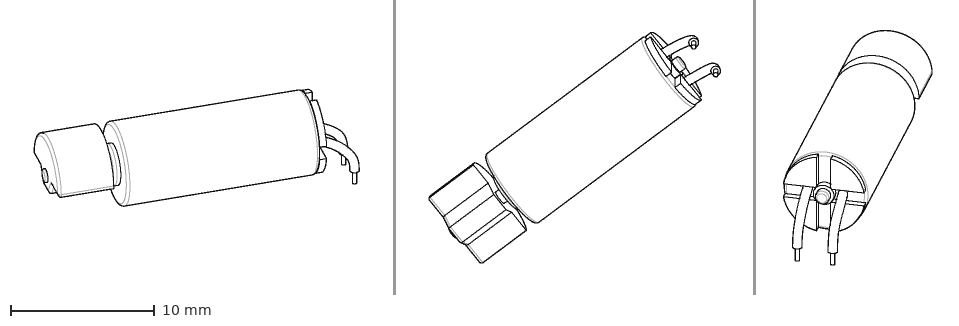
import cadquery as cq
import math


housing_radius = 3.0
housing_length = 14.03
edge_fillet = 0.2

shaft_radius = 0.5
shaft_front_tip = 0.18
shaft_rear_tip = 1.04
shaft_fillet = 0.14

bearing_radius = 3.0 / 2
bearing_length = 0.47

weight_gap = 0.97
weight_length = 4.02
weight_side_height = 0.23
tab_half_width = 1.33
tab_depth = 1.1
tab_draft = 30

cap_radius = 2.93
cap_thickness = 0.5
cap_slot_width = 1.02
cap_hub_radius = 0.75

wire_offset = 1.26
wire_radius = 0.34
conductor_radius = 0.15
conductor_bottom = -4.0
conductor_insertion = 0.34

left_wire_path = [(-0.34, 0.14), (1.4, -0.7), (2.62, -1.53), (3.0, -3.02)]
right_wire_path = [(-0.34, 0.3), (1.47, -0.52), (2.62, -1.55), (3.02, -2.95)]
wire_exit_direction = (0, 0.9, -0.4)
left_end_direction = (0, 0.1, -1)
right_end_direction = (0, 0, -1)

weight_rear = -weight_gap
weight_front = weight_rear - weight_length
shaft_front = weight_front - shaft_front_tip
shaft_rear = housing_length + shaft_rear_tip


def cylinder_along_y(radius, y_start, y_end):
    """Cylinder on the motor axis between two Y positions."""
    plane = cq.Workplane("XZ", origin=(0, y_start, 0))
    return plane.circle(radius).extrude(y_start - y_end)


def make_shaft():
    shaft = cylinder_along_y(shaft_radius, shaft_front, shaft_rear)
    return shaft.edges("%CIRCLE").fillet(shaft_fillet)


def make_housing():
    housing = cylinder_along_y(housing_radius, 0, housing_length)
    housing = housing.edges("%CIRCLE").fillet(edge_fillet)
    return housing.cut(cylinder_along_y(shaft_radius, 0, housing_length))


def make_bearing():
    bearing = cylinder_along_y(bearing_radius, -bearing_length, 0)
    bearing = bearing.faces("<Y").edges().fillet(edge_fillet)
    return bearing.cut(cylinder_along_y(shaft_radius, -bearing_length, 0))


def make_weight():
    """Half disc with a tapered tab below that surrounds the shaft."""
    tab_tip_half_width = tab_half_width - tab_depth * math.tan(math.radians(tab_draft))
    weight = (
        cq.Workplane("XZ", origin=(0, weight_rear, 0))
        .moveTo(-housing_radius, 0)
        .lineTo(-housing_radius, weight_side_height)
        .threePointArc((0, housing_radius), (housing_radius, weight_side_height))
        .lineTo(housing_radius, 0)
        .lineTo(tab_half_width, 0)
        .lineTo(tab_tip_half_width, -tab_depth)
        .lineTo(-tab_tip_half_width, -tab_depth)
        .lineTo(-tab_half_width, 0)
        .close()
        .extrude(weight_length)
    )
    weight = weight.faces("<Y").edges().fillet(edge_fillet)
    return weight.cut(cylinder_along_y(shaft_radius, weight_front, weight_rear))


def make_end_cap():
    """Disc with crossed slots that stop at a central hub around the shaft."""
    cap_rear = housing_length + cap_thickness
    cap = cylinder_along_y(cap_radius, housing_length, cap_rear)
    slots = (
        cq.Workplane("XZ", origin=(0, housing_length, 0))
        .rect(2 * cap_radius, cap_slot_width)
        .extrude(-cap_thickness)
        .union(
            cq.Workplane("XZ", origin=(0, housing_length, 0))
            .rect(cap_slot_width, 2 * cap_radius)
            .extrude(-cap_thickness)
        )
    )
    hub = cylinder_along_y(cap_hub_radius, housing_length, cap_rear)
    cap = cap.cut(slots.cut(hub))
    return cap.cut(cylinder_along_y(shaft_radius, housing_length, cap_rear))


def make_conductor(x, path):
    """Straight bare end that starts just inside the insulation."""
    end_distance, end_z = path[-1]
    top = end_z + conductor_insertion
    plane = cq.Workplane("XY", origin=(x, housing_length + end_distance, top))
    return plane.circle(conductor_radius).extrude(conductor_bottom - top)


def make_insulation(x, path, end_direction, conductor):
    """Curved sleeve with a recess for its conductor."""
    points = [cq.Vector(x, housing_length + distance, z) for distance, z in path]
    tangents = [cq.Vector(*wire_exit_direction), cq.Vector(*end_direction)]
    center_line = cq.Workplane(cq.Wire.assembleEdges([cq.Edge.makeSpline(points, tangents)]))
    start_plane = cq.Plane(origin=points[0], xDir=(1, 0, 0), normal=wire_exit_direction)
    sleeve = cq.Workplane(start_plane).circle(wire_radius).sweep(center_line)
    housing_space = cylinder_along_y(housing_radius, 0, housing_length)
    return sleeve.cut(housing_space).cut(conductor)


shaft = make_shaft()
housing = make_housing()
bearing = make_bearing()
weight = make_weight()
end_cap = make_end_cap()

wire_bodies = []
for x, path, end_direction in [
    (-wire_offset, left_wire_path, left_end_direction),
    (wire_offset, right_wire_path, right_end_direction),
]:
    conductor = make_conductor(x, path)
    insulation = make_insulation(x, path, end_direction, conductor)
    end_cap = end_cap.cut(insulation)
    wire_bodies += [insulation.val(), conductor.val()]

result = cq.Compound.makeCompound(
    [housing.val(), bearing.val(), shaft.val(), weight.val(), end_cap.val(), *wire_bodies]
)